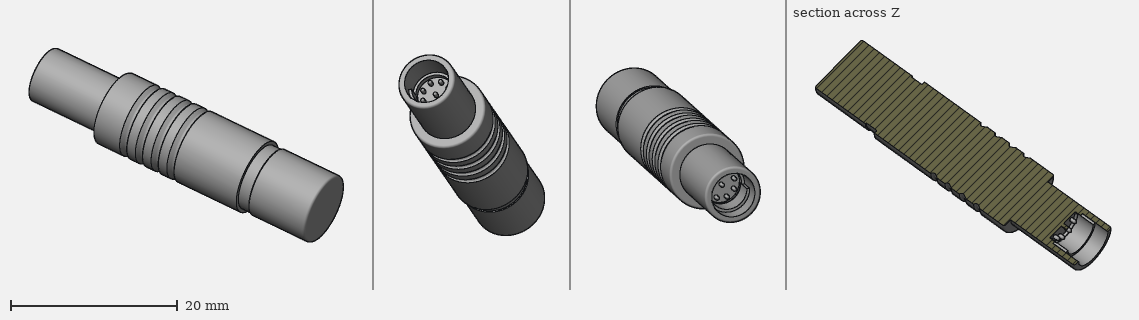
import cadquery as cq
import math

total_length = 40.0
nose_radius = 7.0 / 2
edge_round = 0.3
sleeve_start = 10.0
sleeve_end = 30.4
sleeve_radius = 9.4 / 2
neck_end = 32.0
neck_radius = 8.5 / 2
rear_radius = 8.8 / 2

groove_count = 4
groove_pitch = 2.25
first_groove_end = 14.8
groove_length = 1.0
groove_round = 0.3

mouth_radius = 5.45 / 2
mouth_depth = 4.0
shell_start = 2.0
socket_radius = 4.7 / 2
socket_depth = 4.8
lip_radius = 4.6 / 2
lip_length = 0.4

pin_radius = 0.26
pin_length = 0.8
pin_circle_radius = 1.7
outer_pin_count = 8


def turned(x_start, x_end, radius):
    """Cylinder on the X axis."""
    return cq.Workplane("YZ", origin=(x_start, 0, 0)).circle(radius).extrude(x_end - x_start)


def lower_half_ring(x_start, x_end, outer_radius, inner_radius):
    """Half of a ring on the X axis, the half below z = 0."""
    return (
        cq.Workplane("YZ", origin=(x_start, 0, 0))
        .moveTo(-outer_radius, 0)
        .threePointArc((0, -outer_radius), (outer_radius, 0))
        .lineTo(inner_radius, 0)
        .threePointArc((0, -inner_radius), (-inner_radius, 0))
        .close()
        .extrude(x_end - x_start)
    )


def body():
    nose = turned(0, sleeve_start, nose_radius).faces("<X").edges().fillet(edge_round)
    sleeve = turned(sleeve_start, sleeve_end, sleeve_radius).faces("<X").edges().fillet(edge_round)
    neck = turned(sleeve_end, neck_end, neck_radius)
    rear = turned(neck_end, total_length, rear_radius).faces(">X").edges().fillet(edge_round)
    return nose.union(sleeve).union(neck).union(rear)


def grip_groove(groove_end):
    """Ring to cut away: a ramp tangent to an arc centred on the sleeve surface."""
    arc_center = groove_end - groove_round
    ramp_start = groove_end - groove_length
    ramp_angle = math.asin(groove_round / (arc_center - ramp_start))
    ramp_end = (
        arc_center - groove_round * math.sin(ramp_angle),
        sleeve_radius - groove_round * math.cos(ramp_angle),
    )
    return (
        cq.Workplane("XY")
        .moveTo(ramp_start, sleeve_radius)
        .lineTo(*ramp_end)
        .threePointArc((arc_center, sleeve_radius - groove_round), (groove_end, sleeve_radius))
        .close()
        .revolve(360, (0, 0, 0), (1, 0, 0))
    )


def socket():
    """Bore to cut away, less the half shell and the small lip at its floor."""
    bore = turned(0, mouth_depth, mouth_radius).union(turned(0, socket_depth, socket_radius))
    half_shell = lower_half_ring(shell_start, socket_depth, mouth_radius, socket_radius)
    lip = lower_half_ring(socket_depth - lip_length, socket_depth, socket_radius, lip_radius)
    return bore.cut(half_shell).cut(lip)


def contact_pin(y, z):
    tip_center = socket_depth - pin_length + pin_radius
    tip = cq.Workplane("XY", origin=(tip_center, y, z)).sphere(pin_radius)
    return turned(tip_center, socket_depth, pin_radius).translate((0, y, z)).union(tip)


result = body().cut(socket())
for index in range(groove_count):
    result = result.cut(grip_groove(first_groove_end + index * groove_pitch))

result = result.union(contact_pin(0, 0))
pin_step = 2 * math.pi / outer_pin_count
for index in range(outer_pin_count):
    angle = (index + 0.5) * pin_step
    y = pin_circle_radius * math.cos(angle)
    z = pin_circle_radius * math.sin(angle)
    result = result.union(contact_pin(y, z))